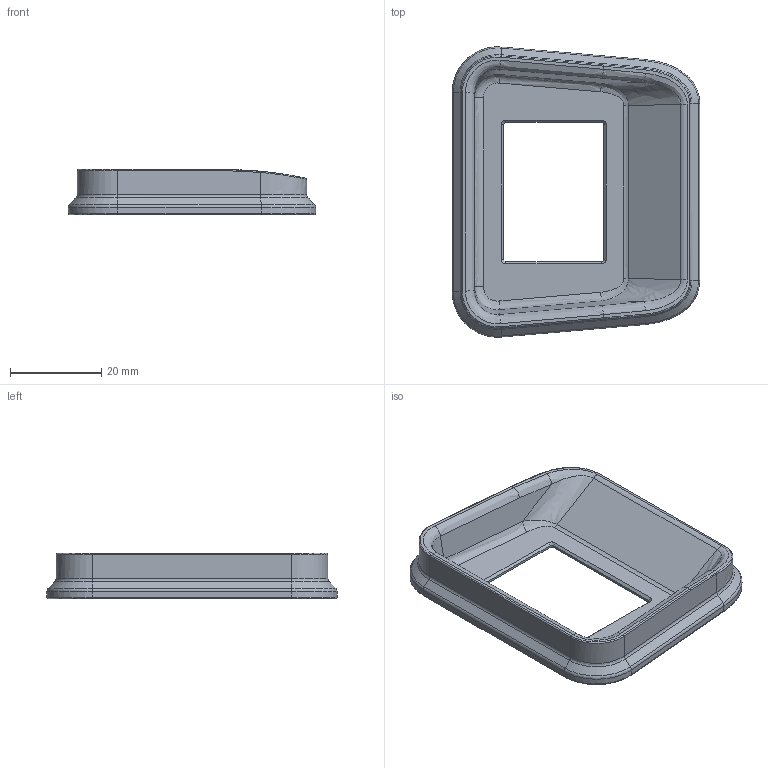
import cadquery as cq
import math

LENGTH_X = 54.26
LENGTH_Y = 63.65
HEIGHT = 10.0
SIDE_TAPER = math.radians(5)
LEFT_CORNER_RADIUS = 10.0
CORNER_START_X = 15.2
CORNER_END_Y = 19.4
CORNER_HANDLE = 0.6

FLANGE_HEIGHT = 2.0
WALL_INSET = 2.0
FLARE_FILLET = 1.0
FOOT_FILLET = 0.3
LIP_FILLET = 0.25

CROWN_START_X = 6.0
CROWN_RADIUS = 92.0

FLOOR = 1.0
CAVITY_INSET_LEFT = 4.87
CAVITY_INSET_SIDE = 4.6
SIDE_DRAFT = math.radians(10.4)
RAMP_FOOT_X = 11.04
RAMP_ANGLE = math.radians(30)
CAVITY_CORNER_RADIUS = 5.1
CAVITY_FILLET = 2.0

WINDOW_X = 22.0
WINDOW_Y = 30.5
WINDOW_CENTRE_X = -4.9
WINDOW_CORNER_RADIUS = 0.5
WINDOW_CHAMFER = 0.5

OVERCUT = 3.0
MARGIN = 0.05

LEFT = -LENGTH_X / 2
RIGHT = LENGTH_X / 2
ARC_CENTRE_X = LEFT + LEFT_CORNER_RADIUS
ARC_CENTRE_Y = LENGTH_Y / 2 - LEFT_CORNER_RADIUS


def side_y(x, inset):
    """Y of the tapered +Y side at x, moved square to itself by inset."""
    radius = LEFT_CORNER_RADIUS - inset
    return ARC_CENTRE_Y + radius / math.cos(SIDE_TAPER) - (x - ARC_CENTRE_X) * math.tan(SIDE_TAPER)


def towards(start, end, share):
    """Point that lies the given share of the way from start to end."""
    return tuple(a + share * (b - a) for a, b in zip(start, end))


def outline(z, inset):
    """Closed outer outline at height z, moved inwards by inset."""
    radius = LEFT_CORNER_RADIUS - inset

    def on_arc(angle):
        return (ARC_CENTRE_X + radius * math.cos(angle), ARC_CENTRE_Y + radius * math.sin(angle))

    def mirror(point):
        return (point[0], -point[1])

    arc_end_angle = math.pi / 2 - SIDE_TAPER
    arc_start = on_arc(math.pi)
    arc_middle = on_arc((math.pi + arc_end_angle) / 2)
    arc_end = on_arc(arc_end_angle)
    start_x = CORNER_START_X - inset * math.sin(SIDE_TAPER)
    corner_start = (start_x, side_y(start_x, inset))
    corner_end = (RIGHT - inset, CORNER_END_Y)
    sharp_corner = (RIGHT - inset, side_y(RIGHT - inset, inset))
    corner = [
        corner_start,
        towards(corner_start, sharp_corner, CORNER_HANDLE),
        towards(corner_end, sharp_corner, CORNER_HANDLE),
        corner_end,
    ]
    mirrored_corner = [mirror(point) for point in reversed(corner)]
    return (
        cq.Workplane("XY", origin=(0, 0, z))
        .moveTo(*mirror(arc_start))
        .lineTo(*arc_start)
        .threePointArc(arc_middle, arc_end)
        .lineTo(*corner_start)
        .bezier(corner[1:], includeCurrent=True)
        .lineTo(*mirror(corner_end))
        .bezier(mirrored_corner[1:], includeCurrent=True)
        .lineTo(*mirror(arc_end))
        .threePointArc(mirror(arc_middle), mirror(arc_start))
        .close()
    )


def outer_body():
    """Flange, 45 degree flare and upright wall, as one filleted solid."""
    flare_top = FLANGE_HEIGHT + WALL_INSET
    flange = outline(0, 0).extrude(FLANGE_HEIGHT)
    flare_foot = outline(FLANGE_HEIGHT, 0).val()
    flare_head = outline(flare_top, WALL_INSET).val()
    flare = cq.Workplane(cq.Solid.makeLoft([flare_foot, flare_head], True))
    wall = outline(flare_top, WALL_INSET).extrude(HEIGHT - flare_top)
    body = flange.union(flare).union(wall)
    for z in (FLANGE_HEIGHT, flare_top):
        body = body.edges(box_selector(LEFT, RIGHT, LENGTH_Y / 2, z, z)).fillet(FLARE_FILLET)
    return body.faces("<Z").edges().fillet(FOOT_FILLET)


def box_selector(x_min, x_max, reach_y, z_min, z_max=HEIGHT):
    """Selects edges lying wholly in a box that spans reach_y to both sides of the XZ plane."""
    return cq.selectors.BoxSelector(
        (x_min - MARGIN, -reach_y - MARGIN, z_min - MARGIN),
        (x_max + MARGIN, reach_y + MARGIN, z_max + MARGIN),
        boundingbox=True,
    )


def crown_drop(x):
    """How far the top surface lies below full height at x."""
    return CROWN_RADIUS - math.sqrt(CROWN_RADIUS**2 - (x - CROWN_START_X) ** 2)


def crown_cutter():
    """Everything above the top surface, which bends down from CROWN_START_X on."""
    end_x = RIGHT + OVERCUT
    middle_x = (CROWN_START_X + end_x) / 2
    return (
        cq.Workplane("XZ", origin=(0, LENGTH_Y, 0))
        .moveTo(CROWN_START_X, HEIGHT)
        .threePointArc((middle_x, HEIGHT - crown_drop(middle_x)), (end_x, HEIGHT - crown_drop(end_x)))
        .lineTo(end_x, HEIGHT + OVERCUT)
        .lineTo(CROWN_START_X, HEIGHT + OVERCUT)
        .close()
        .extrude(2 * LENGTH_Y)
    )


def cavity_section(z):
    """Sharp-cornered cavity section at height z."""
    left = LEFT + CAVITY_INSET_LEFT
    right = RAMP_FOOT_X + (z - FLOOR) / math.tan(RAMP_ANGLE)
    inset = CAVITY_INSET_SIDE + (HEIGHT - z) * math.tan(SIDE_DRAFT)
    corners = [
        (left, -side_y(left, inset)),
        (right, -side_y(right, inset)),
        (right, side_y(right, inset)),
        (left, side_y(left, inset)),
    ]
    return cq.Workplane("XY", origin=(0, 0, z)).polyline(corners).close().wire().val()


def cavity():
    """Pocket with a sloping right wall, rounded corners and a rounded floor edge."""
    sections = [cavity_section(FLOOR), cavity_section(HEIGHT + OVERCUT)]
    pocket = cq.Workplane(cq.Solid.makeLoft(sections, True))
    pocket = pocket.edges("not(#Z)").fillet(CAVITY_CORNER_RADIUS)
    return pocket.faces("<Z").edges().fillet(CAVITY_FILLET)


def window():
    """Rounded rectangular opening through the floor, chamfered on the cavity side."""
    opening = (
        cq.Workplane("XY")
        .center(WINDOW_CENTRE_X, 0)
        .rect(WINDOW_X, WINDOW_Y)
        .extrude(FLOOR)
        .edges("|Z")
        .fillet(WINDOW_CORNER_RADIUS)
    )
    flare_wire = opening.faces(">Z").wires().val()
    rim_wire = flare_wire.offset2D(WINDOW_CHAMFER)[0]
    throat_wire = flare_wire.translate(cq.Vector(0, 0, -WINDOW_CHAMFER))
    return opening.union(cq.Workplane(cq.Solid.makeLoft([throat_wire, rim_wire], True)))


def round_lip(body):
    """Round the outer edge of the top surface, before the cavity is cut."""
    around_lip = box_selector(LEFT, RIGHT, LENGTH_Y, HEIGHT - crown_drop(RIGHT))
    crown_seam = cq.selectors.BoxSelector(
        (CROWN_START_X - MARGIN, -MARGIN, HEIGHT - MARGIN),
        (CROWN_START_X + MARGIN, MARGIN, HEIGHT + MARGIN),
    )
    return body.edges(around_lip - crown_seam).fillet(LIP_FILLET)


def round_rim(body):
    """Round the edge where the cavity opens through the flat and the curved top surface."""
    cavity_left = LEFT + CAVITY_INSET_LEFT
    flat_reach_y = side_y(cavity_left, CAVITY_INSET_SIDE)
    crown_reach_y = side_y(CROWN_START_X, CAVITY_INSET_SIDE)
    inside_lip_x = RIGHT - WALL_INSET - LIP_FILLET
    flat_rim = box_selector(cavity_left, CROWN_START_X, flat_reach_y, HEIGHT)
    crown_rim = box_selector(CROWN_START_X, inside_lip_x, crown_reach_y, HEIGHT - crown_drop(RIGHT))
    return body.edges(flat_rim + crown_rim).fillet(CAVITY_FILLET)


blank = round_lip(outer_body().cut(crown_cutter()))
result = round_rim(blank.cut(cavity())).cut(window())